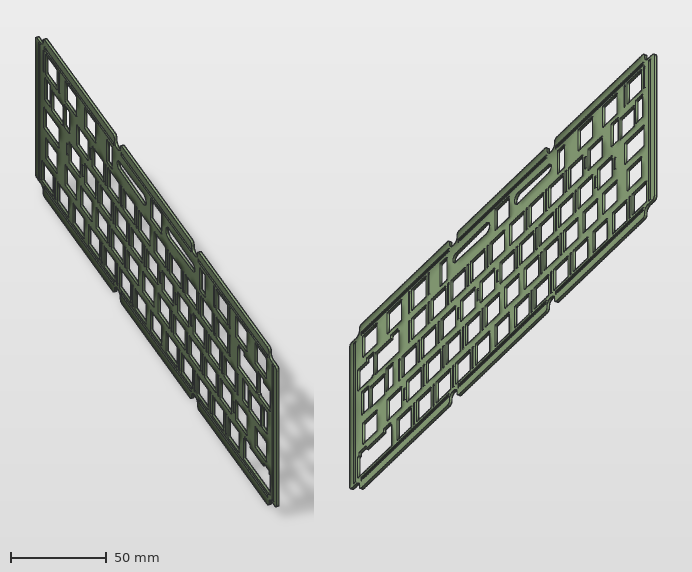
import cadquery as cq
import math

plate_width = 296.7
overall_height = 107.7
thickness = 1.5
body_height = 95.8
body_corner_radius = 2.0

key_field_width = 286.0
pitch = key_field_width / 15
key_size = 14.0
opening_corner_radius = 0.45

tab_corner_radius = 2.0
tab_root_radius = 3.0
outer_tab_end = 139.0
outer_tab_start = 51.0
middle_tab_end = 44.0

relief_slot_width = 1.8
tab_slot_center_z = 47.8
outer_slot_start = 52.0
outer_slot_end = 137.5
middle_slot_end = 43.0
side_slot_center_x = 143.5
side_slot_length = 92.3

flex_slot_width = 1.1
short_flex_slot_length = 7.5

stabilizer_width = 6.8
stabilizer_height = 15.0
stabilizer_shift = 1.5
stabilizer_spread = 12.0
space_stabilizer_spread = 3 * pitch

taper_inner_end = 12.2
taper_outer_end = 47.8
taper_inner_radius = 3.5
taper_outer_radius = 2.73

steps_per_key = 8
column_step = pitch / steps_per_key


def key_run(first, count):
    """Columns of `count` places, one key apart."""
    return [first + i * steps_per_key for i in range(count)]


key_columns = {
    2: [-54, -44, -34, 0, 34, 44, 54],
    1: [-51] + key_run(-38, 10) + [45, 49, 56],
    0: [-55, -53] + key_run(-42, 11) + [51],
    -1: [-54] + key_run(-44, 12) + [54],
    -2: key_run(-56, 13) + [48, 52, 56],
}

long_flex_columns = {
    2: key_run(-58, 2) + key_run(30, 2),
    1: key_run(-26, 3) + key_run(6, 5),
    0: key_run(-30, 4) + key_run(26, 3),
    -1: key_run(-24, 2) + key_run(8, 4),
    -2: [-52] + key_run(-28, 3) + key_run(12, 4),
}

short_flex_columns = {
    1: [-34],
    0: key_run(-46, 2) + key_run(2, 3),
    -1: [40],
}

stabilized_keys = [
    (2, 0, space_stabilizer_spread, -stabilizer_shift),
    (1, -51, stabilizer_spread, stabilizer_shift),
    (1, 49, stabilizer_spread, stabilizer_shift),
    (0, 51, stabilizer_spread, stabilizer_shift),
    (-2, 52, stabilizer_spread, stabilizer_shift),
]


def block(x_center, z_center, width, height):
    """Plate-thick block centred on the plate mid-plane."""
    return cq.Workplane("XY").box(width, thickness, height).translate((x_center, 0, z_center))


def rounded_block(x_center, z_center, width, height):
    """Block with the rounded corners of a key or stabilizer opening."""
    return block(x_center, z_center, width, height).edges("|Y").fillet(opening_corner_radius)


def grid_blocks(make_block, columns_by_row, width, height):
    """One block at each listed grid place."""
    return [
        make_block(column * column_step, row * pitch, width, height)
        for row, columns in columns_by_row.items()
        for column in columns
    ]


def upright_edges_at(x_positions, z_positions):
    """Selector for plate-thick edges at the given |x| and |z|."""
    reach = 0.03
    boxes = [
        cq.selectors.BoxSelector(
            (sx * x - reach, -thickness, sz * z - reach),
            (sx * x + reach, thickness, sz * z + reach),
        )
        for x in x_positions
        for z in z_positions
        for sx in (-1, 1)
        for sz in (-1, 1)
    ]
    selector = boxes[0]
    for box in boxes[1:]:
        selector = selector + box
    return selector


def make_outline():
    outline = block(0, 0, plate_width, body_height)
    outer_tab_length = outer_tab_end - outer_tab_start
    outer_tab_center = (outer_tab_end + outer_tab_start) / 2
    for side in (-1, 1):
        outline = outline.union(block(side * outer_tab_center, 0, outer_tab_length, overall_height))
    outline = outline.union(block(0, 0, 2 * middle_tab_end, overall_height))

    tab_ends = [middle_tab_end, outer_tab_start, outer_tab_end]
    body_corners = upright_edges_at([plate_width / 2], [body_height / 2])
    tab_corners = upright_edges_at(tab_ends, [overall_height / 2])
    tab_roots = upright_edges_at(tab_ends, [body_height / 2])
    outline = outline.edges(body_corners).fillet(body_corner_radius)
    outline = outline.edges(tab_corners).fillet(tab_corner_radius)
    return outline.edges(tab_roots).fillet(tab_root_radius)


def relief_slots():
    outer_length = outer_slot_end - outer_slot_start
    outer_center = (outer_slot_end + outer_slot_start) / 2
    slots = []
    for side in (-1, 1):
        z = side * tab_slot_center_z
        slots.append(block(-outer_center, z, outer_length, relief_slot_width))
        slots.append(block(0, z, 2 * middle_slot_end, relief_slot_width))
        slots.append(block(outer_center, z, outer_length, relief_slot_width))
        slots.append(block(side * side_slot_center_x, 0, relief_slot_width, side_slot_length))
    return slots


def stabilizer_openings():
    openings_at_keys = []
    for row, column, spread, shift in stabilized_keys:
        z = row * pitch + shift
        for side in (-1, 1):
            x = column * column_step + side * spread
            openings_at_keys.append(rounded_block(x, z, stabilizer_width, stabilizer_height))
    return openings_at_keys


def tapered_opening(side):
    """Round-ended opening, its straight flanks tangent to both end arcs."""
    inner_x = taper_inner_end + taper_inner_radius
    outer_x = taper_outer_end - taper_outer_radius
    lean = math.asin((taper_inner_radius - taper_outer_radius) / (outer_x - inner_x))
    inner_touch_x = inner_x + taper_inner_radius * math.sin(lean)
    inner_touch_z = taper_inner_radius * math.cos(lean)
    outer_touch_x = outer_x + taper_outer_radius * math.sin(lean)
    outer_touch_z = taper_outer_radius * math.cos(lean)
    return (
        cq.Workplane("XZ")
        .center(0, 2 * pitch)
        .moveTo(side * inner_touch_x, inner_touch_z)
        .lineTo(side * outer_touch_x, outer_touch_z)
        .threePointArc((side * taper_outer_end, 0), (side * outer_touch_x, -outer_touch_z))
        .lineTo(side * inner_touch_x, -inner_touch_z)
        .threePointArc((side * taper_inner_end, 0), (side * inner_touch_x, inner_touch_z))
        .close()
        .extrude(thickness / 2, both=True)
    )


openings = grid_blocks(rounded_block, key_columns, key_size, key_size)
openings += grid_blocks(block, long_flex_columns, flex_slot_width, key_size)
openings += grid_blocks(block, short_flex_columns, flex_slot_width, short_flex_slot_length)
openings += stabilizer_openings()
openings += relief_slots()
openings += [tapered_opening(side) for side in (-1, 1)]

plate = make_outline().val().cut(*[opening.val() for opening in openings])
result = cq.Workplane(plate.Solids()[0])